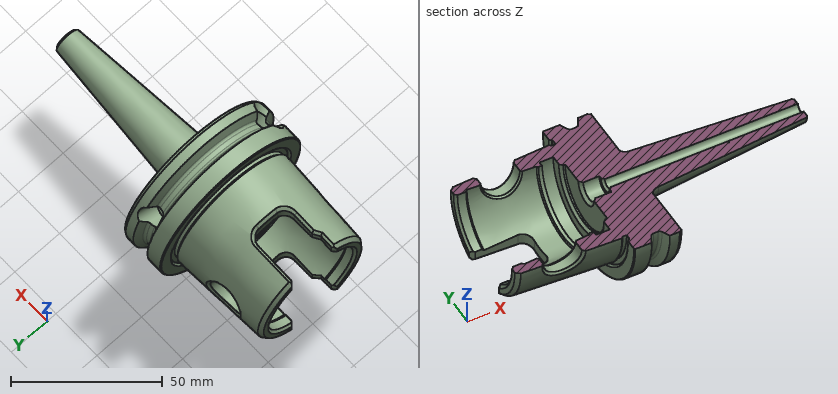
import cadquery as cq
import math


total_length = 120.0
shank_end = 38.7
flange_front = 39.8
flange_back = 57.9
nose_start = 60.8

shank_mouth_radius = 23.2
shank_end_radius = 25.0
mouth_chamfer_length = 1.5
mouth_chamfer_depth = 1.2
mouth_face_inner_radius = 19.9
land_radius = 19.0
land_end = 4.2
bore_start_radius = 19.7
bore_end_radius = 18.0

lip_start = 30.2
lip_radius = 17.5
lip_end = 32.1
recess_radius = 19.2
cavity_end = 37.2

pocket_radius = 14.3
pocket_chamfer = 1.1
pocket_depth = 1.8
counterbore_radius = 4.1
counterbore_chamfer = 1.2
counterbore_depth = 7.2
counterbore_floor_radius = 2.9
through_diameter = 4.0
through_radius = through_diameter / 2
drill_cone_length = 1.0

neck_radius = 24.3
neck_chamfer = shank_end_radius - neck_radius
undercut_depth = 1.0
undercut_radius = 26.3
undercut_mouth_radius = 27.0
undercut_chamfer = undercut_mouth_radius - undercut_radius

flange_diameter = 63.0
flange_radius = flange_diameter / 2
flange_front_chamfer = 0.4
flange_back_chamfer_length = 1.1
flange_back_chamfer_depth = 0.6
groove_center = 49.8
groove_floor_radius = 28.0
groove_mouth_width = 6.8
groove_side_angle = 27.0
groove_fillet = 1.2

nose_radius = 9.7
nose_fillet_length = nose_start - flange_back
nose_fillet_height = 1.8
nose_fillet_radius = (nose_fillet_length ** 2 + nose_fillet_height ** 2) / (2 * nose_fillet_height)
tip_radius = 5.0
tip_chamfer = 0.6

slot_half_width = 8.0
slot_end = 21.7
slot_corner_radius = 4.0
slot_wide_half_width = 9.8
slot_wide_end = 6.6
slot_step_end = 9.0
slot_edge_chamfer = 1.2

cross_hole_x = 17.4
cross_hole_radius = 7.1
cross_hole_chamfer = 1.0
cross_hole_inner_chamfer = 0.6

grip_hole_x = 50.9
grip_hole_radius = 4.2
grip_hole_angle = 30.0
grip_hole_floor = 21.2
grip_rim_radius = 6.4
grip_rim_depth = 2.4
drill_point_angle = 118.0

margin = 0.1


def revolve_about_x(outline):
    """Solid of revolution about the X axis from an open half outline."""
    return outline.close().revolve(360, (0, 0, 0), (1, 0, 0))


def make_outer_body():
    """Shank, flange and nose without any holes."""
    groove_side = (flange_radius - groove_floor_radius) * math.tan(math.radians(groove_side_angle))
    groove_left = groove_center - groove_mouth_width / 2
    groove_right = groove_center + groove_mouth_width / 2
    outline = (
        cq.Workplane("XY")
        .lineTo(0, shank_mouth_radius - mouth_chamfer_depth)
        .lineTo(mouth_chamfer_length, shank_mouth_radius)
        .lineTo(shank_end, shank_end_radius)
        .lineTo(shank_end + neck_chamfer, neck_radius)
        .lineTo(flange_front + undercut_depth, neck_radius)
        .lineTo(flange_front + undercut_depth, undercut_radius)
        .lineTo(flange_front + undercut_chamfer, undercut_radius)
        .lineTo(flange_front, undercut_mouth_radius)
        .lineTo(flange_front, flange_radius - flange_front_chamfer)
        .lineTo(flange_front + flange_front_chamfer, flange_radius)
        .lineTo(groove_left, flange_radius)
        .lineTo(groove_left + groove_side, groove_floor_radius)
        .lineTo(groove_right - groove_side, groove_floor_radius)
        .lineTo(groove_right, flange_radius)
        .lineTo(flange_back - flange_back_chamfer_length, flange_radius)
        .lineTo(flange_back, flange_radius - flange_back_chamfer_depth)
        .lineTo(flange_back, nose_radius + nose_fillet_height)
        .radiusArc((nose_start, nose_radius), -nose_fillet_radius)
        .lineTo(total_length - tip_chamfer, tip_radius)
        .lineTo(total_length, tip_radius - tip_chamfer)
        .lineTo(total_length, 0)
    )
    reach = groove_floor_radius + margin
    groove_floor_edges = cq.selectors.BoxSelector(
        (groove_left, -reach, -reach),
        (groove_right, reach, reach),
        boundingbox=True,
    )
    return revolve_about_x(outline).edges(groove_floor_edges).fillet(groove_fillet)


def make_drive_slot():
    """Cutter for the slot across the shank, with the mouth stepped wider on the -Y side."""
    slot = (
        cq.Workplane("XY")
        .moveTo(0, slot_half_width + slot_edge_chamfer)
        .lineTo(mouth_chamfer_length, slot_half_width)
        .lineTo(slot_end, slot_half_width)
        .lineTo(slot_end, -slot_half_width)
        .lineTo(slot_step_end, -slot_half_width)
        .lineTo(slot_wide_end, -slot_wide_half_width)
        .lineTo(mouth_chamfer_length, -slot_wide_half_width)
        .lineTo(0, -slot_wide_half_width - slot_edge_chamfer)
        .close()
        .extrude(shank_end_radius * 2, both=True)
    )
    return slot.edges("|Z and >X").fillet(slot_corner_radius)


def make_cavity():
    """Cutter for the shank bore, the recess, the floor pocket and the hole along the axis."""
    lip_chamfer = bore_end_radius - lip_radius
    pocket_end = cavity_end + pocket_depth
    counterbore_end = pocket_end + counterbore_depth
    outline = (
        cq.Workplane("XY")
        .lineTo(0, mouth_face_inner_radius)
        .lineTo(mouth_face_inner_radius - land_radius, land_radius)
        .lineTo(land_end, land_radius)
        .lineTo(land_end + bore_start_radius - land_radius, bore_start_radius)
        .lineTo(lip_start, bore_end_radius)
        .lineTo(lip_start + lip_chamfer, lip_radius)
        .lineTo(lip_end, lip_radius)
        .lineTo(lip_end, recess_radius)
        .lineTo(cavity_end, recess_radius)
        .lineTo(cavity_end, pocket_radius + pocket_chamfer)
        .lineTo(cavity_end + pocket_chamfer, pocket_radius)
        .lineTo(pocket_end, pocket_radius)
        .lineTo(pocket_end, counterbore_radius + counterbore_chamfer)
        .lineTo(pocket_end + counterbore_chamfer, counterbore_radius)
        .lineTo(counterbore_end, counterbore_radius)
        .lineTo(counterbore_end, counterbore_floor_radius)
        .lineTo(counterbore_end + drill_cone_length, through_radius)
        .lineTo(total_length, through_radius)
        .lineTo(total_length, 0)
    )
    return revolve_about_x(outline)


def make_cross_hole():
    """Cutter along Y through both shank walls."""
    return (
        cq.Workplane("XZ")
        .center(cross_hole_x, 0)
        .circle(cross_hole_radius)
        .extrude(shank_end_radius, both=True)
    )


def slot_rim(side):
    """Outer edges of the drive slot above (side = 1) or below (side = -1) the axis."""
    return cq.selectors.BoxSelector(
        (mouth_chamfer_length - margin, -slot_wide_half_width - margin, side * lip_radius),
        (slot_end + margin, slot_half_width + margin, side * shank_end_radius),
        boundingbox=True,
    )


def cross_hole_rim(side):
    """Outer edge of the cross hole on the +Y (side = 1) or -Y (side = -1) wall."""
    reach = cross_hole_radius + margin
    return cq.selectors.BoxSelector(
        (cross_hole_x - reach, side * lip_radius, -reach),
        (cross_hole_x + reach, side * shank_end_radius, reach),
        boundingbox=True,
    )


def cross_hole_inner_rim(side):
    """Edge where the cross hole breaks into the bore, on the +Y or -Y wall."""
    reach = cross_hole_radius + margin
    return cq.selectors.BoxSelector(
        (cross_hole_x - reach, side * (slot_wide_half_width + slot_edge_chamfer), -reach),
        (cross_hole_x + reach, side * bore_start_radius, reach),
        boundingbox=True,
    )


def place_on_flange(cutter, angle):
    """Move a cutter made along +Y to the grip hole station and turn it about X."""
    return cutter.translate((grip_hole_x, 0, 0)).rotate((0, 0, 0), (1, 0, 0), angle)


def make_grip_hole():
    """Radial drilled hole with a conical floor."""
    point_height = grip_hole_radius / math.tan(math.radians(drill_point_angle / 2))
    return (
        cq.Workplane("XY")
        .moveTo(0, grip_hole_floor - point_height)
        .lineTo(grip_hole_radius, grip_hole_floor)
        .lineTo(grip_hole_radius, flange_radius + margin)
        .lineTo(0, flange_radius + margin)
        .close()
        .revolve(360, (0, 0, 0), (0, 1, 0))
    )


def make_grip_rim():
    """Countersink that widens the mouth of a grip hole."""
    return (
        cq.Workplane("XY")
        .moveTo(0, flange_radius - grip_rim_depth)
        .lineTo(grip_hole_radius, flange_radius - grip_rim_depth)
        .lineTo(grip_rim_radius, flange_radius)
        .lineTo(0, flange_radius)
        .close()
        .revolve(360, (0, 0, 0), (0, 1, 0))
    )


body = make_outer_body().cut(make_cross_hole()).cut(make_drive_slot())
body = body.edges(cross_hole_rim(1) + cross_hole_rim(-1)).chamfer(cross_hole_chamfer)
body = body.edges(slot_rim(1) + slot_rim(-1)).chamfer(slot_edge_chamfer)
body = body.cut(make_cavity())
cross_hole_inner_rims = cross_hole_inner_rim(1) + cross_hole_inner_rim(-1)
body = body.edges(cross_hole_inner_rims).chamfer(cross_hole_inner_chamfer)

body = body.cut(place_on_flange(make_grip_hole(), grip_hole_angle))
body = body.cut(place_on_flange(make_grip_hole(), 180 - grip_hole_angle))
body = body.cut(place_on_flange(make_grip_rim(), 180 - grip_hole_angle))

result = body